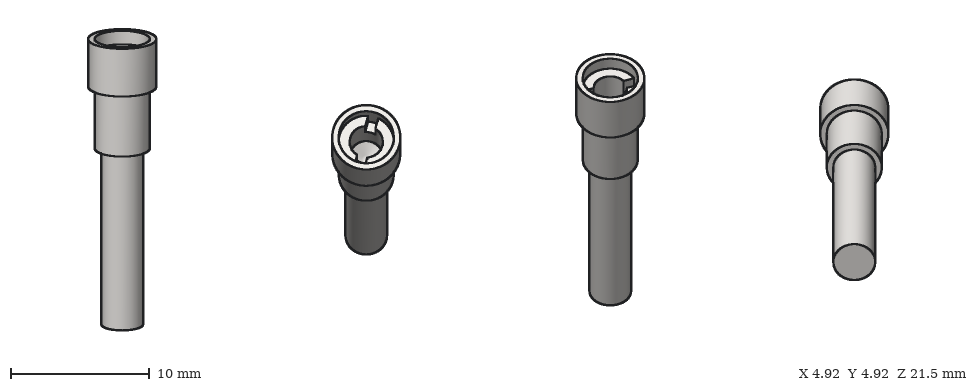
import cadquery as cq
import math

total_length = 21.48
head_diameter = 4.92
head_length = 3.59
collar_diameter = 3.97
collar_length = 4.66
shank_diameter = 3.03

recess_diameter = collar_diameter
recess_depth = 1.0
hole_diameter = 2.38
hole_depth = 4.3
drill_point_angle = 118
slot_width = 0.75
slot_depth = 2.3
slot_direction = 45


def cylinder(diameter, bottom, top):
    return cq.Workplane("XY").workplane(offset=bottom).circle(diameter / 2).extrude(top - bottom)


def stepped_body():
    head_bottom = total_length - head_length
    collar_bottom = head_bottom - collar_length
    shank = cylinder(shank_diameter, 0, collar_bottom)
    collar = cylinder(collar_diameter, collar_bottom, head_bottom)
    head = cylinder(head_diameter, head_bottom, total_length)
    return shank.union(collar).union(head)


def recess():
    return cylinder(recess_diameter, total_length - recess_depth, total_length)


def drilled_hole():
    radius = hole_diameter / 2
    wall_bottom = total_length - hole_depth
    tip = wall_bottom - radius / math.tan(math.radians(drill_point_angle / 2))
    half_section = (
        cq.Workplane("XZ")
        .moveTo(0, tip)
        .lineTo(radius, wall_bottom)
        .lineTo(radius, total_length)
        .lineTo(0, total_length)
        .close()
    )
    return half_section.revolve(360, (0, 0, 0), (0, 1, 0))


def slot():
    bottom = total_length - slot_depth
    bar = (
        cq.Workplane("XY")
        .workplane(offset=bottom)
        .rect(head_diameter, slot_width)
        .extrude(slot_depth)
        .rotate((0, 0, 0), (0, 0, 1), slot_direction)
    )
    return bar.intersect(cylinder(recess_diameter, bottom, total_length))


result = stepped_body().cut(recess()).cut(drilled_hole()).cut(slot())